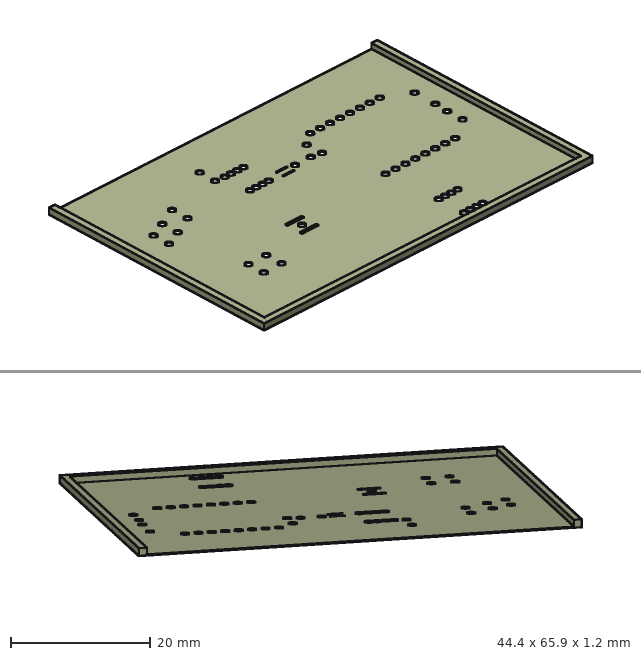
import cadquery as cq

width = 44.35
length = 65.9
height = 1.2
sheet_thickness = 0.2
rim_width = 1.2

hole_diameter = 1.2
pair_spacing = 3.15

long_column_count = 8
long_column_span = 14.0
long_column_top = 23.3
long_column_left = -11.8
long_column_gap = 15.55

short_column_count = 4
short_column_span = 3.75
short_column_gap = 5.2
short_group_corners = [(14.05, 13.8), (long_column_left, -4.0)]

pair_starts = [
    (-2.4, 27.7),
    (-9.9, 6.8),
    (-15.15, -9.55),
    (7.8, -18.5),
    (7.8, -22.1),
    (-10.55, -19.6),
    (-8.75, -23.25),
    (-7.4, -26.35),
]
wide_pair = [(-9.3, 27.9), (-5.0, 27.9)]
vertical_pair = [(-7.05, 4.9), (-7.05, 1.7)]

wide_slot_center = (5.4, -9.0)
wide_slot_gap = 3.0
wide_slot_width = 0.45
wide_slot_length = 3.3

narrow_slot_center = (-6.8, -0.5)
narrow_slot_gap = 1.4
narrow_slot_width = 0.2
narrow_slot_length = 2.2


def hole_columns(left, top, gap, count, span):
    """Centers of two vertical columns of evenly spaced holes."""
    pitch = span / (count - 1)
    return [(x, top - row * pitch) for x in (left, left + gap) for row in range(count)]


def slot_pair(center, gap, slot_width, slot_length):
    """Cutter for two parallel rectangular slots, side by side along X."""
    x, y = center
    return (
        cq.Workplane("XY")
        .pushPoints([(x - gap / 2, y), (x + gap / 2, y)])
        .rect(slot_width, slot_length)
        .extrude(height)
    )


def tray():
    """Sheet and rim, centered on the origin in X and Y with the underside at Z = 0."""
    body = cq.Workplane("XY").box(width, length, height, centered=(True, True, False))
    recess = (
        cq.Workplane("XY", origin=(-rim_width / 2, 0, sheet_thickness))
        .rect(width - rim_width, length - 2 * rim_width)
        .extrude(height)
    )
    return body.cut(recess)


def round_holes():
    """Cutter for all round holes."""
    centers = hole_columns(
        long_column_left, long_column_top, long_column_gap, long_column_count, long_column_span
    )
    for left, top in short_group_corners:
        centers += hole_columns(left, top, short_column_gap, short_column_count, short_column_span)
    for x, y in pair_starts:
        centers += [(x, y), (x + pair_spacing, y)]
    centers += wide_pair + vertical_pair + [wide_slot_center]
    return cq.Workplane("XY").pushPoints(centers).circle(hole_diameter / 2).extrude(height)


wide_slots = slot_pair(wide_slot_center, wide_slot_gap, wide_slot_width, wide_slot_length)
narrow_slots = slot_pair(
    narrow_slot_center, narrow_slot_gap, narrow_slot_width, narrow_slot_length
)

result = tray().cut(round_holes()).cut(wide_slots).cut(narrow_slots)